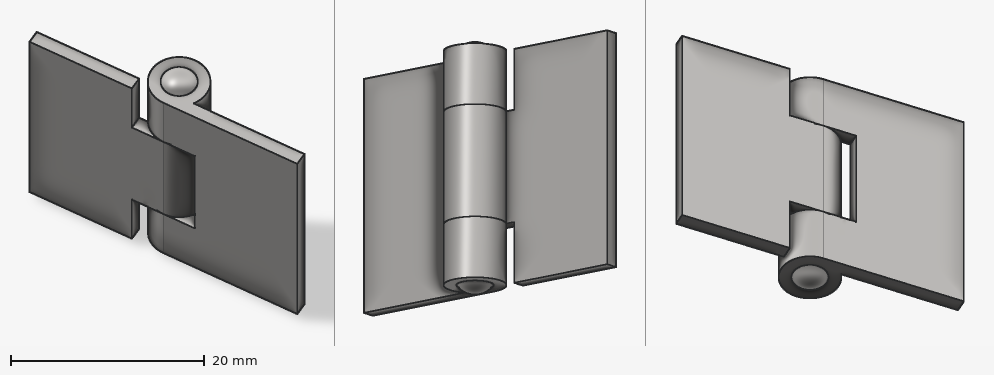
import cadquery as cq

width = 32.0
leaf_height = 25.0
overall_height = 26.8
barrel_diameter = 6.5
leaf_thickness = 1.5
middle_knuckle_height = 12.0
barrel_clearance = 0.5
pin_diameter = 3.85

barrel_radius = barrel_diameter / 2
pin_radius = pin_diameter / 2
dome_height = (overall_height - leaf_height) / 2
notch_reach = barrel_radius + barrel_clearance
end_knuckle_height = (leaf_height - middle_knuckle_height) / 2
end_knuckle_offset = (middle_knuckle_height + end_knuckle_height) / 2


def make_plate(x_start, x_end, height, z_center):
    """Flat plate whose back face is tangent to the barrel."""
    return (
        cq.Workplane("XY")
        .box(x_end - x_start, leaf_thickness, height, centered=(False, False, True))
        .translate((x_start, -barrel_radius, z_center))
    )


def make_knuckle(side, height, z_center):
    """Bored barrel segment joined to the leaf by a tangent web on the given side (-1 or +1)."""
    web = make_plate(min(0, side * notch_reach), max(0, side * notch_reach), height, z_center)
    barrel = cq.Workplane("XY", origin=(0, 0, z_center - height / 2)).circle(barrel_radius).extrude(height)
    bore = cq.Workplane("XY", origin=(0, 0, z_center - height / 2)).circle(pin_radius).extrude(height)
    return barrel.union(web).cut(bore)


def make_left_leaf():
    """Leaf carrying the single middle knuckle."""
    plate = make_plate(-width / 2, -notch_reach, leaf_height, 0)
    return plate.union(make_knuckle(-1, middle_knuckle_height, 0))


def make_right_leaf():
    """Leaf carrying the two end knuckles."""
    leaf = make_plate(notch_reach, width / 2, leaf_height, 0)
    for z_center in (-end_knuckle_offset, end_knuckle_offset):
        leaf = leaf.union(make_knuckle(1, end_knuckle_height, z_center))
    return leaf


def make_pin():
    """Revolved pin with a shallow spherical dome on each end."""
    dome_radius = (pin_radius**2 + dome_height**2) / (2 * dome_height)
    half_pin = leaf_height / 2
    tip = overall_height / 2
    mid_x = pin_radius / 2
    mid_z = tip - dome_radius + (dome_radius**2 - mid_x**2) ** 0.5
    return (
        cq.Workplane("XZ")
        .moveTo(0, -tip)
        .threePointArc((mid_x, -mid_z), (pin_radius, -half_pin))
        .lineTo(pin_radius, half_pin)
        .threePointArc((mid_x, mid_z), (0, tip))
        .close()
        .revolve(360, (0, 0, 0), (0, 1, 0))
    )


left_leaf = make_left_leaf()
right_leaf = make_right_leaf()
pin = make_pin()

result = cq.Compound.makeCompound([left_leaf.val(), right_leaf.val(), pin.val()])